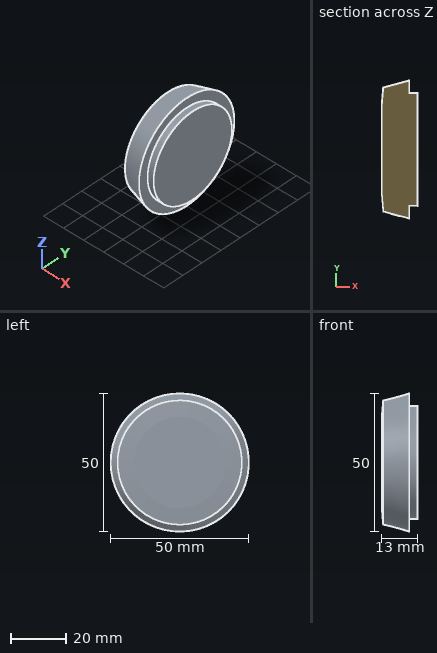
import cadquery as cq

face_diameter = 33.0
front_rim_diameter = 44.9
back_rim_diameter = 50.0
spigot_diameter = 41.0

face_bevel_depth = 0.5
head_length = 10.0
spigot_length = 3.0
total_length = head_length + spigot_length

half_section = [
    (0, 0),
    (0, face_diameter / 2),
    (face_bevel_depth, front_rim_diameter / 2),
    (head_length, back_rim_diameter / 2),
    (head_length, spigot_diameter / 2),
    (total_length, spigot_diameter / 2),
    (total_length, 0),
]

result = (
    cq.Workplane("XY")
    .polyline(half_section)
    .close()
    .revolve(360, (0, 0, 0), (1, 0, 0))
)